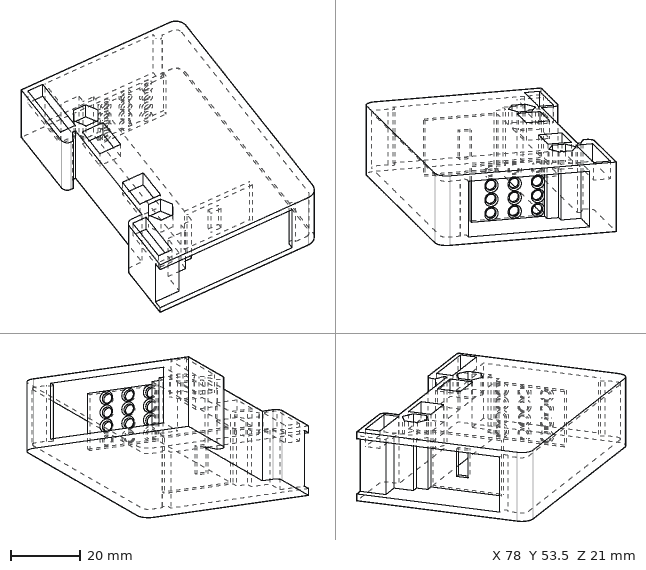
import cadquery as cq
import math

LENGTH = 78.0
DEPTH = 53.5
HEIGHT = 21.0
CORNER_RADIUS = 3.5
PLATE = 2.1
INNER_HEIGHT = HEIGHT - 2 * PLATE

RAIL_START = 21.5
RAIL_END = 58.75
RAIL_DEPTH = 5.4
HOOK_TIP_X = 24.5
HOOK_ROOT_Y = 4.4
HOOK_TIP_Y = 2.9
FOOT_RADIUS = 2.0

LID_WALL = 1.5
CATCH_DEPTH = 2.5
CATCH_BOTTOM = 44.5
CATCH_TOP = 46.5
CATCH_RADIUS = 0.95

BAY_BOTTOM = 8.0
SHELF_Y = 14.0
SHELF_X = 9.0
BASE_TOP = 17.5
STEP_X = 11.5
TERMINAL_FACE = 14.0
TERMINAL_TOP = 39.5
TERMINAL_WALL = 1.5
RELEASE_SLOT = 2.6

HOLE_ROWS = 4
HOLE_ROW_PITCH = INNER_HEIGHT / HOLE_ROWS
HOLE_COLUMNS = 3
HOLE_COLUMN_PITCH = 7.0
FIRST_COLUMN_Y = 19.5
HOLE_DIAMETER = 3.0
HOLE_MOUTH = 4.0
MOUTH_DEPTH = 0.5

WINDOW_BOTTOM = 25.5
WINDOW_TOP = 29.0

POCKET_DEPTH = 5.3
HEX_FLATS = 7.0
HEX_X = 18.0
HEX_Y = 11.0
RECESS_LENGTH = 9.75
RECESS_WIDTH = 7.0
RECESS_X = 22.9
RECESS_Y = 6.9
FOOT_POCKET_Y = 1.4
LEFT_POCKET_X = 1.4
LEFT_POCKET_LENGTH = 18.3
LEFT_POCKET_WIDTH = 5.0
RIGHT_POCKET_X = 60.3
RIGHT_POCKET_LENGTH = 14.5
RIGHT_POCKET_WIDTH = 4.5


def block(x_min, x_max, y_min, y_max, z_min=PLATE, z_max=HEIGHT - PLATE):
    """Rectangular block given by its limits; full inner height by default."""
    return cq.Workplane("XY").box(
        x_max - x_min, y_max - y_min, z_max - z_min, centered=False
    ).translate((x_min, y_min, z_min))


def mirrored(shape):
    """Copy of a shape on the other side of the mid-length plane."""
    shifted = shape.translate((-LENGTH / 2, 0, 0))
    return shifted.mirror("YZ").translate((LENGTH / 2, 0, 0))


def quarter_arc_middle(center_x, center_y, radius, x_side, y_side):
    """Middle point of a quarter arc on the given side of its center."""
    offset = radius * math.sqrt(0.5)
    return (center_x + x_side * offset, center_y + y_side * offset)


def outer_body():
    """Solid envelope with the rail notch and the rounded lid corners."""
    left_arc = quarter_arc_middle(HOOK_TIP_X - FOOT_RADIUS, FOOT_RADIUS, FOOT_RADIUS, 1, -1)
    right_arc = quarter_arc_middle(RAIL_END + FOOT_RADIUS, FOOT_RADIUS, FOOT_RADIUS, -1, -1)
    outline = (
        cq.Workplane("XY")
        .lineTo(HOOK_TIP_X - FOOT_RADIUS, 0)
        .threePointArc(left_arc, (HOOK_TIP_X, FOOT_RADIUS))
        .lineTo(HOOK_TIP_X, HOOK_TIP_Y)
        .lineTo(RAIL_START, HOOK_ROOT_Y)
        .lineTo(RAIL_START, RAIL_DEPTH)
        .lineTo(RAIL_END, RAIL_DEPTH)
        .lineTo(RAIL_END, FOOT_RADIUS)
        .threePointArc(right_arc, (RAIL_END + FOOT_RADIUS, 0))
        .lineTo(LENGTH, 0)
        .lineTo(LENGTH, DEPTH)
        .lineTo(0, DEPTH)
        .close()
    )
    return outline.extrude(HEIGHT).edges("|Z and >Y").fillet(CORNER_RADIUS)


def lid_space():
    """Room above the terminal blocks, bounded by the lid shell and its catches."""
    room = block(LID_WALL, LENGTH - LID_WALL, TERMINAL_TOP, DEPTH - LID_WALL)
    room = room.edges("|Z and >Y").fillet(CORNER_RADIUS - LID_WALL)
    catch = block(0, CATCH_DEPTH, CATCH_BOTTOM, CATCH_TOP)
    catch = catch.edges("|Z and >X").fillet(CATCH_RADIUS)
    return room.cut(catch).cut(mirrored(catch))


def end_bay():
    """Left bay: open to the outside, stepping inwards up to the terminal wall."""
    shelf = block(0, SHELF_X, BAY_BOTTOM, SHELF_Y)
    step = block(0, STEP_X, SHELF_Y, BASE_TOP)
    front = block(0, TERMINAL_FACE, BASE_TOP, TERMINAL_TOP)
    mouth = block(0, LID_WALL, TERMINAL_TOP, CATCH_BOTTOM)
    return shelf.union(step).union(front).union(mouth)


def chamber():
    """Room between the two terminal walls."""
    inner_face = TERMINAL_FACE + TERMINAL_WALL
    return block(inner_face, LENGTH - inner_face, BASE_TOP, TERMINAL_TOP)


def terminal_holes():
    """Grid of holes with conical mouths through the left terminal wall."""
    centers = [
        (FIRST_COLUMN_Y + column * HOLE_COLUMN_PITCH, PLATE + (row + 0.5) * HOLE_ROW_PITCH)
        for column in range(HOLE_COLUMNS)
        for row in range(HOLE_ROWS)
    ]
    face = cq.Workplane("YZ", origin=(TERMINAL_FACE, 0, 0)).pushPoints(centers)
    bores = face.circle(HOLE_DIAMETER / 2).extrude(TERMINAL_WALL)
    cone = cq.Solid.makeCone(
        HOLE_MOUTH / 2, HOLE_DIAMETER / 2, MOUTH_DEPTH,
        pnt=cq.Vector(0, 0, 0), dir=cq.Vector(1, 0, 0),
    )
    mouths = [cone.translate(cq.Vector(TERMINAL_FACE, y, z)) for y, z in centers]
    return bores, mouths


def terminal_window():
    """Opening in the right terminal wall, as tall as the two middle hole rows."""
    outer_face = LENGTH - TERMINAL_FACE
    return block(
        outer_face - TERMINAL_WALL, outer_face, WINDOW_BOTTOM, WINDOW_TOP,
        HEIGHT / 2 - HOLE_ROW_PITCH, HEIGHT / 2 + HOLE_ROW_PITCH,
    )


def foot_pocket(x_min, length, width):
    """Rectangular pocket in a rail foot."""
    return block(
        x_min, x_min + length, FOOT_POCKET_Y, FOOT_POCKET_Y + width,
        HEIGHT - POCKET_DEPTH, HEIGHT,
    )


def hex_pocket():
    """Left hexagonal nut pocket, with two corners pointing along Y."""
    across_corners = HEX_FLATS / math.cos(math.pi / 6)
    hexagon = cq.Workplane("XY").polygon(6, across_corners).extrude(POCKET_DEPTH)
    return hexagon.rotate((0, 0, 0), (0, 0, 1), 90).translate((HEX_X, HEX_Y, HEIGHT - POCKET_DEPTH))


def plate_recess():
    """Left rectangular recess in the upper plate."""
    return block(
        RECESS_X, RECESS_X + RECESS_LENGTH, RECESS_Y, RECESS_Y + RECESS_WIDTH,
        HEIGHT - POCKET_DEPTH, HEIGHT,
    )


body = outer_body()

body = body.cut(lid_space()).cut(chamber())
body = body.cut(end_bay()).cut(mirrored(end_bay()))
body = body.cut(block(LENGTH - RELEASE_SLOT, LENGTH, 0, BAY_BOTTOM))

hole_bores, hole_mouths = terminal_holes()
body = body.cut(hole_bores)
for hole_mouth in hole_mouths:
    body = body.cut(cq.Workplane(obj=hole_mouth))
body = body.cut(terminal_window())

for pocket in (hex_pocket(), plate_recess()):
    body = body.cut(pocket).cut(mirrored(pocket))
body = body.cut(foot_pocket(LEFT_POCKET_X, LEFT_POCKET_LENGTH, LEFT_POCKET_WIDTH))
body = body.cut(foot_pocket(RIGHT_POCKET_X, RIGHT_POCKET_LENGTH, RIGHT_POCKET_WIDTH))

result = body